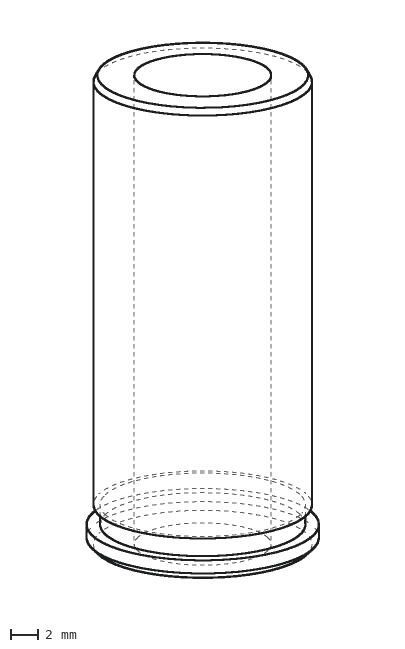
import cadquery as cq

total_height = 36.0
flange_diameter = 17.0

body_diameter = 16.0
bore_diameter = 10.0
top_chamfer_height = 0.5
top_chamfer_width = 0.3

flange_height = 1.5
flange_chamfer = 0.5
groove_diameter = 15.0
groove_height = 1.5

flange_radius = flange_diameter / 2
body_radius = body_diameter / 2
bore_radius = bore_diameter / 2
groove_radius = groove_diameter / 2
groove_top = flange_height + groove_height

wall_section = [
    (bore_radius, 0),
    (flange_radius - flange_chamfer, 0),
    (flange_radius, flange_chamfer),
    (flange_radius, flange_height),
    (groove_radius, flange_height),
    (groove_radius, groove_top),
    (body_radius, groove_top),
    (body_radius, total_height - top_chamfer_height),
    (body_radius - top_chamfer_width, total_height),
    (bore_radius, total_height),
]

result = cq.Workplane("XZ").polyline(wall_section).close().revolve(360, (0, 0), (0, 1))